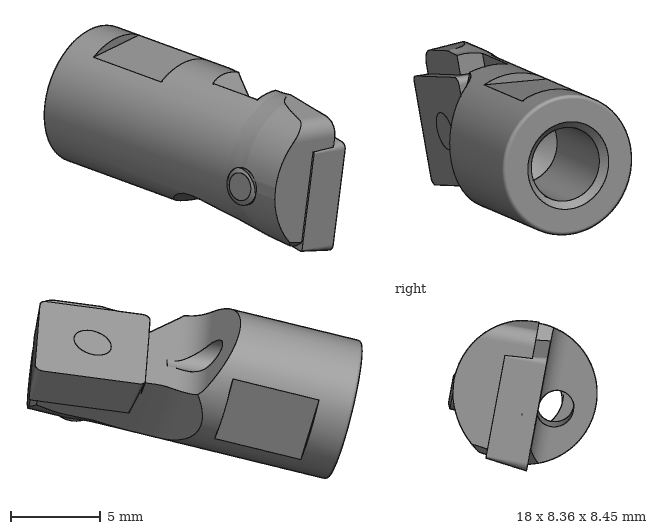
import cadquery as cq
import math


shank_radius = 4.0
rear_edge_radius = 0.2
flat_start = 2.0
flat_end = 7.0
flat_height = 3.5

bore_radius = 2.1
bore_mouth_radius = 2.5
bore_depth = 6.0
drill_point_angle = 120
duct_radius = 1.03
duct_slope = 7
duct_y = 1.65
duct_entry_z = -0.58
duct_length = 4.5

rake_angle = 10.5
relief_angle = 7
corner_angle = 80
inscribed_circle = 6.35
insert_thickness = 2.38
nose_radius = 0.4
insert_tip_x = 18
insert_center_w = -0.58
rake_depth = -0.83
seat_depth = rake_depth + insert_thickness
insert_center_x = insert_tip_x - inscribed_circle / 2
edge_slope = math.tan(math.radians(90 - corner_angle))

screw_radius = 1.08
screw_end_depth = 4.18
screw_chamfer_length = 0.15
screw_chamfer_width = 0.29

collar_start = 13.7
collar_taper = 5
crown_radius = 4.1
heel_radius = 4.73
crown_start_angle = 60
crown_middle_angle = 120
heel_middle_angle = 225
band_top_z = 0.8
band_bottom_z = 0.13
end_x = 17.8
crown_flat_w = 4.07
crown_flat_x = 14.24
crown_corner_radius = 1.0
heel_chamfer = 0.47

flute_floor = 0.85
flute_arc_radius = 2.0
flute_arc_x = 10.08
flute_entry_angle = 60

heel_crest_x = 11.1
heel_crest_w = -2.88
heel_arc_radius = 2.79
heel_entry_angle = 33

notch_wall_x = 13.2
notch_angle = 50
notch_foot_x = 12.06
notch_foot_w = 1.12

beyond = 10.8


def insert_plane(x=0, depth=0, end_relief=0, flank_relief=0):
    """Plane facing into the seat, its depth axis leaning by the end and flank relief angles."""
    tilt = math.radians(rake_angle)
    up = cq.Vector(0, math.sin(tilt), math.cos(tilt))
    inward = cq.Vector(0, -math.cos(tilt), math.sin(tilt))
    end_lean = cq.Vector(1, 0, 0) * math.tan(math.radians(end_relief))
    flank_lean = up * math.tan(math.radians(flank_relief))
    normal = (inward - end_lean + flank_lean).normalized()
    x_dir = cq.Vector(1, 0, 0) - normal * normal.x
    return cq.Plane(cq.Vector(x, 0, 0) + inward * depth, x_dir, normal)


def make_insert_blank():
    """Rhombic plate tapering away from the rake face, with rounded corners."""
    half_width = inscribed_circle / 2
    half_height = half_width / math.sin(math.radians(corner_angle))
    rise = half_width * edge_slope
    outline = [
        (half_width, -half_height - rise),
        (half_width, half_height - rise),
        (-half_width, half_height + rise),
        (-half_width, rise - half_height),
    ]
    sketch = cq.Sketch().polygon(outline + outline[:1]).vertices().fillet(nose_radius)
    return (
        cq.Workplane(insert_plane(insert_center_x, rake_depth))
        .center(0, insert_center_w)
        .placeSketch(sketch)
        .extrude(insert_thickness, taper=relief_angle)
    )


def make_screw():
    """Plain screw flush with the rake face, its chamfered end standing out of the head."""
    return (
        cq.Workplane(insert_plane(insert_center_x, rake_depth))
        .center(0, insert_center_w)
        .circle(screw_radius)
        .extrude(screw_end_depth - rake_depth)
        .faces("<Y")
        .edges()
        .chamfer(screw_chamfer_length, screw_chamfer_width)
    )


def make_shank():
    """Round shank with two opposed spanner flats."""
    shank = (
        cq.Workplane("YZ")
        .circle(shank_radius)
        .extrude(insert_tip_x)
        .faces("<X")
        .edges()
        .fillet(rear_edge_radius)
    )
    for side in (1, -1):
        slab = (
            cq.Workplane("XY")
            .workplane(offset=side * flat_height)
            .center((flat_start + flat_end) / 2, 0)
            .rect(flat_end - flat_start, beyond)
            .extrude(side * beyond)
        )
        shank = shank.cut(slab)
    return shank


def make_collar():
    """Enlarged end: a crown arc, a narrow flat band and a wider heel arc, growing out of a cone."""
    length = insert_tip_x - collar_start
    start_angle = math.radians(crown_start_angle)
    middle_angle = math.radians(crown_middle_angle)
    heel_angle = math.radians(heel_middle_angle)
    heel_center_y = heel_radius - crown_radius
    profile = (
        cq.Workplane("YZ", origin=(collar_start, 0, 0))
        .moveTo(crown_radius * math.cos(start_angle), crown_radius * math.sin(start_angle))
        .threePointArc(
            (crown_radius * math.cos(middle_angle), crown_radius * math.sin(middle_angle)),
            (-math.sqrt(crown_radius**2 - band_top_z**2), band_top_z),
        )
        .lineTo(-crown_radius, band_bottom_z)
        .threePointArc(
            (
                heel_center_y + heel_radius * math.cos(heel_angle),
                band_bottom_z + heel_radius * math.sin(heel_angle),
            ),
            (heel_center_y, band_bottom_z - heel_radius),
        )
        .close()
        .extrude(length)
    )
    cone = (
        cq.Workplane("YZ", origin=(collar_start, 0, 0))
        .circle(shank_radius)
        .extrude(length, taper=-collar_taper)
    )
    return profile.intersect(cone)


def make_end_envelope():
    """Region kept at the cutting end: sloping crown flat, rounded corner and relieved end face."""
    corner_w = crown_flat_w - edge_slope * (end_x - crown_flat_x)
    outline = [
        (0, -beyond),
        (0, corner_w),
        (-2 * beyond, corner_w + 2 * beyond * edge_slope),
        (-2 * beyond, -beyond),
    ]
    return (
        cq.Workplane(insert_plane(end_x, 0, end_relief=relief_angle))
        .polyline(outline)
        .close()
        .extrude(beyond, both=True)
        .edges(cq.selectors.NearestToPointSelector((end_x, 0, corner_w)))
        .fillet(crown_corner_radius)
    )


def make_flute():
    """Chip flute: steep entry, arc and a floor in line with the rake face."""
    entry = math.radians(flute_entry_angle)
    arc_center = flute_floor + flute_arc_radius
    arc_start = (
        flute_arc_x - flute_arc_radius * math.sin(entry),
        arc_center - flute_arc_radius * math.cos(entry),
    )
    arc_middle = (
        flute_arc_x - flute_arc_radius * math.sin(entry / 2),
        arc_center - flute_arc_radius * math.cos(entry / 2),
    )
    rim = (arc_start[0] - (beyond - arc_start[1]) / math.tan(entry), beyond)
    seat_frame = insert_plane()
    profile_plane = cq.Plane((0, 0, 0), (1, 0, 0), seat_frame.yDir)
    floor = (
        cq.Workplane(profile_plane)
        .moveTo(*rim)
        .lineTo(*arc_start)
        .threePointArc(arc_middle, (flute_arc_x, flute_floor))
        .lineTo(2 * beyond, flute_floor)
        .lineTo(2 * beyond, beyond)
        .close()
        .extrude(beyond, both=True)
    )
    seat_shelf = (
        cq.Workplane(profile_plane)
        .moveTo(insert_center_x - inscribed_circle / 2, 0)
        .rect(beyond, beyond, centered=False)
        .extrude(beyond, both=True)
    )
    return floor.union(seat_shelf)


def make_heel_relief():
    """Cut below the insert: sloping entry, arc and a run parallel to the lower cutting edge."""
    entry = math.radians(heel_entry_angle)
    run = math.atan(edge_slope)
    center_x = heel_crest_x - heel_arc_radius * math.sin(run)
    center_w = heel_crest_w - heel_arc_radius * math.cos(run)
    arc_start = (
        center_x - heel_arc_radius * math.sin(entry),
        center_w + heel_arc_radius * math.cos(entry),
    )
    low_x = arc_start[0] - (beyond + arc_start[1]) / math.tan(entry)
    far_w = heel_crest_w - (2 * beyond - heel_crest_x) * edge_slope
    return (
        cq.Workplane(insert_plane(flank_relief=relief_angle))
        .moveTo(low_x, -beyond)
        .lineTo(*arc_start)
        .threePointArc((center_x, center_w + heel_arc_radius), (heel_crest_x, heel_crest_w))
        .lineTo(2 * beyond, far_w)
        .lineTo(2 * beyond, -beyond)
        .close()
        .extrude(beyond, both=True)
    )


def make_heel_chamfer():
    """Wedge taken off the heel corner behind the insert nose, relieved along both edges."""
    corner_w = heel_crest_w - (end_x - heel_crest_x) * edge_slope
    return (
        cq.Workplane(insert_plane(end_x, 0, relief_angle, relief_angle))
        .polyline([
            (0, corner_w + heel_chamfer),
            (-heel_chamfer, corner_w + heel_chamfer * edge_slope),
            (-heel_chamfer, corner_w - heel_chamfer),
            (heel_chamfer, corner_w - heel_chamfer),
            (heel_chamfer, corner_w + heel_chamfer),
        ])
        .close()
        .extrude(beyond, both=True)
    )


def make_notch():
    """Clearance for the insert's rear corner, down to the seat."""
    run_out = beyond / math.tan(math.radians(notch_angle))
    return (
        cq.Workplane(insert_plane(depth=seat_depth))
        .polyline([
            (notch_foot_x, notch_foot_w),
            (notch_foot_x - run_out, notch_foot_w + beyond),
            (notch_wall_x, notch_foot_w + beyond),
            (notch_wall_x, notch_foot_w),
        ])
        .close()
        .extrude(-beyond)
    )


def make_bore():
    """Countersunk bore with a drill point and a sloping coolant duct to the flute."""
    mouth_depth = bore_mouth_radius - bore_radius
    point_length = bore_radius / math.tan(math.radians(drill_point_angle / 2))
    bore = (
        cq.Workplane("XY")
        .polyline([
            (0, 0),
            (0, bore_mouth_radius),
            (mouth_depth, bore_radius),
            (bore_depth, bore_radius),
            (bore_depth + point_length, 0),
        ])
        .close()
        .revolve(360, (0, 0, 0), (1, 0, 0))
    )
    slope = math.radians(duct_slope)
    duct_plane = cq.Plane(
        (bore_depth, duct_y, duct_entry_z), (0, 1, 0), (math.cos(slope), 0, -math.sin(slope))
    )
    duct = cq.Workplane(duct_plane).circle(duct_radius).extrude(duct_length)
    return bore.union(duct)


def make_head(insert_blank, screw):
    """Head with its flute, reliefs and bore, recessed for the insert and the screw."""
    head = make_shank().union(make_collar()).intersect(make_end_envelope())
    for tool in (make_flute(), make_heel_relief(), make_heel_chamfer(), make_notch(), make_bore()):
        head = head.cut(tool)
    return head.cut(insert_blank).cut(screw)


insert_blank = make_insert_blank()
screw = make_screw()
insert = insert_blank.cut(screw)
head = make_head(insert_blank, screw)

result = cq.Compound.makeCompound([head.val(), insert.val(), screw.val()])